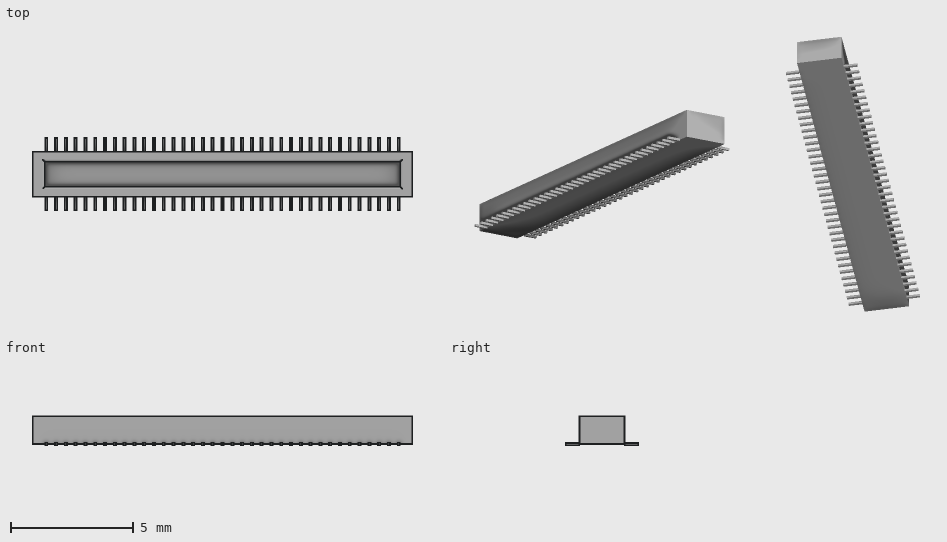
import cadquery as cq

length = 15.52
overall_width = 2.96
overall_height = 1.2

body_width = 1.85
body_lift = 0.05
body_height = overall_height - body_lift

mouth_length = 14.71
mouth_width = 1.21
cavity_depth = 0.6
lead_in_radius = 0.1

tails_per_row = 37
tail_row_span = 14.4
tail_pitch = tail_row_span / (tails_per_row - 1)
tail_width = 0.1
tail_thickness = 0.1
tail_length = (overall_width - body_width) / 2


def make_housing():
    """Rectangular block, raised slightly above the tail undersides, with its open cavity."""
    block = (
        cq.Workplane("XY", origin=(0, 0, body_lift))
        .box(length, body_width, body_height, centered=(True, True, False))
    )
    pocket = (
        cq.Workplane("XY", origin=(0, 0, overall_height - cavity_depth))
        .rect(mouth_length - 2 * lead_in_radius, mouth_width - 2 * lead_in_radius)
        .extrude(cavity_depth)
    )
    mouth_edges = cq.selectors.BoxSelector(
        (-mouth_length / 2, -mouth_width / 2, overall_height - lead_in_radius),
        (mouth_length / 2, mouth_width / 2, overall_height + lead_in_radius),
    )
    return block.cut(pocket).edges(mouth_edges).fillet(lead_in_radius)


def make_tails():
    """Both rows of flat tails, butting against the long sides of the housing."""
    row_spacing = overall_width - tail_length
    return (
        cq.Workplane("XY")
        .rarray(tail_pitch, row_spacing, tails_per_row, 2)
        .rect(tail_width, tail_length)
        .extrude(tail_thickness)
    )


result = make_housing().union(make_tails())